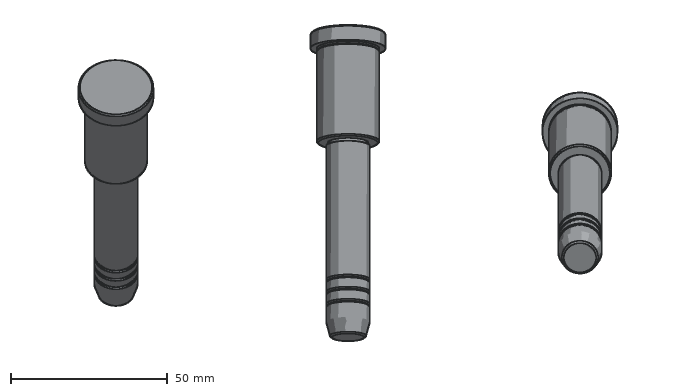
import cadquery as cq
import math

total_length = 100.0
head_diameter = 24.0
head_height = 5.0
head_chamfer = 0.5

shoulder_diameter = 20.0
shoulder_bottom = 64.0
shoulder_chamfer = 0.5

shaft_diameter = 14.0
taper_height = 5.0
taper_angle = 15.0
tip_chamfer = 0.5

groove_width = 1.0
groove_depth = 0.5
groove_pitch = 4.0
groove_count = 3
lowest_groove_bottom = 10.0

head_bottom = total_length - head_height
shaft_top = shoulder_bottom - groove_width
tip_diameter = shaft_diameter - 2 * taper_height * math.tan(math.radians(taper_angle))


def cylinder(diameter, bottom, top):
    return cq.Workplane("XY").workplane(offset=bottom).circle(diameter / 2).extrude(top - bottom)


def ring_groove(diameter, bottom):
    """Ring that cuts a 90 degree V-groove into a cylinder of the given diameter."""
    radius = diameter / 2
    profile = (
        cq.Workplane("XZ")
        .moveTo(radius, bottom)
        .lineTo(radius - groove_depth, bottom + groove_width / 2)
        .lineTo(radius, bottom + groove_width)
        .close()
    )
    return profile.revolve(360, (0, 0, 0), (0, 1, 0))


head = cylinder(head_diameter, head_bottom, total_length).faces(">Z").edges().chamfer(head_chamfer)

shoulder = cylinder(shoulder_diameter, shoulder_bottom, head_bottom)
shoulder = shoulder.faces("<Z").edges().chamfer(shoulder_chamfer)
shoulder = shoulder.cut(ring_groove(shoulder_diameter, head_bottom - groove_width))

shaft = cylinder(shaft_diameter, taper_height, shaft_top)
shaft_neck = cylinder(shaft_diameter - 2 * groove_depth, shaft_top, shoulder_bottom)

tip = (
    cq.Workplane("XY")
    .circle(tip_diameter / 2)
    .workplane(offset=taper_height)
    .circle(shaft_diameter / 2)
    .loft()
    .faces("<Z")
    .edges()
    .chamfer(tip_chamfer)
)

result = head
for section in (shoulder, shaft_neck, shaft, tip):
    result = result.union(section)

for index in range(groove_count):
    groove_bottom = lowest_groove_bottom + index * groove_pitch
    result = result.cut(ring_groove(shaft_diameter, groove_bottom))